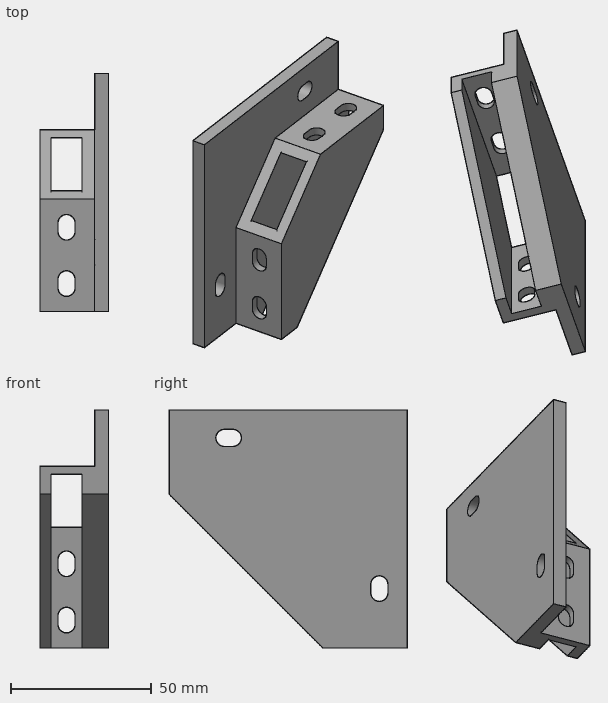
import cadquery as cq

side = 84.75
width = 24.5
plate_thickness = 5.0
plate_end = 30.0
plate_border = 20.0
flange_length = 40.0
flange_thickness = 3.0
side_wall = 4.0
pocket_width = 11.0

slot_length = 9.0
slot_width = 6.0
flange_slot_positions = (10.0, 30.0)
plate_slot_from_end = side / 4
plate_slot_from_edge = 10.0

block_width = width - plate_thickness
block_side = side - plate_border
slant_start = side - plate_end
pocket_side = block_side - flange_thickness
pocket_center_x = side_wall + pocket_width / 2


def make_plate():
    outline = [(slant_start, 0), (side, 0), (side, side), (0, side), (0, slant_start)]
    return (
        cq.Workplane("YZ").workplane(offset=block_width)
        .polyline(outline).close().extrude(plate_thickness)
    )


def make_block():
    outline = [
        (slant_start, 0),
        (block_side, 0),
        (block_side, flange_length),
        (flange_length, block_side),
        (0, block_side),
        (0, slant_start),
    ]
    return cq.Workplane("YZ").polyline(outline).close().extrude(block_width)


def make_pocket():
    """Channel open to the slanted side and to the clipped corner."""
    return (
        cq.Workplane("XY")
        .box(pocket_width, pocket_side, pocket_side, centered=False)
        .translate((side_wall, 0, 0))
    )


def flange_slots(plane):
    """Slot cutters reaching through one flange; the plane's local Y runs along the flange."""
    centers = [(pocket_center_x, position) for position in flange_slot_positions]
    return (
        cq.Workplane(plane).pushPoints(centers)
        .slot2D(slot_length, slot_width, 90).extrude(block_side)
    )


def plate_slot(y, z, angle):
    """Slot through the plate; angle 0 runs along Y and 90 along Z."""
    return (
        cq.Workplane("YZ").workplane(offset=block_width).center(y, z)
        .slot2D(slot_length, slot_width, angle).extrude(plate_thickness)
    )


back_plane = cq.Plane(origin=(0, block_side, 0), xDir=(1, 0, 0), normal=(0, -1, 0))
top_flange_slots = flange_slots("XY")
back_flange_slots = flange_slots(back_plane)
outer_slot_line = side - plate_slot_from_edge

result = make_plate().union(make_block()).cut(make_pocket())
result = result.cut(top_flange_slots).cut(back_flange_slots)
result = result.cut(plate_slot(plate_slot_from_end, outer_slot_line, 0))
result = result.cut(plate_slot(outer_slot_line, plate_slot_from_end, 90))